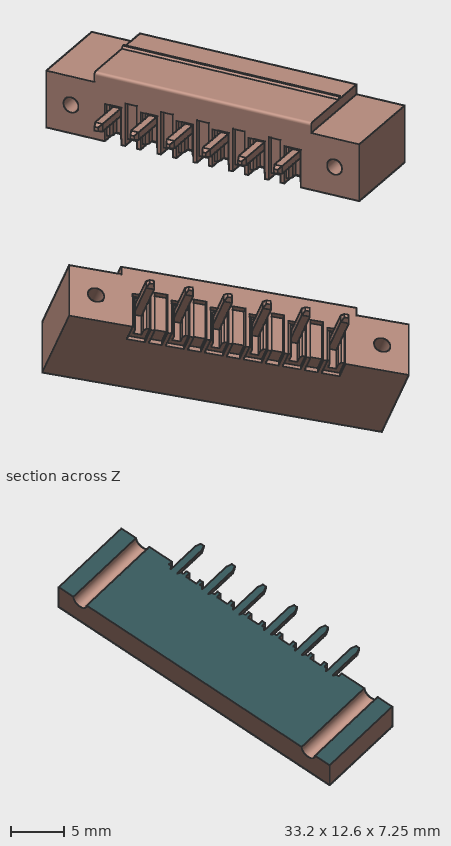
import cadquery as cq

length = 33.25
depth = 9.2
flange_height = 6.0
body_height = 7.02
body_length = 23.0
front_edge_radius = 0.3

overall_height = 7.25
ridge_back = 5.95
ridge_top_width = 0.2
ridge_base_width = 0.4

axis_height = 3.0
hole_diameter = 1.6
hole_spacing = 28.0

pin_count = 6
pin_row_length = 19.05
pitch = pin_row_length / (pin_count - 1)
pin_width = 0.8
pin_tip_width = 0.4
pin_tip_length = 0.53
pin_reach = 3.4

pocket_width = 1.75
pocket_top = 3.92
pocket_depth = 0.43
funnel_width = 1.2
funnel_top = 3.73
funnel_depth = 0.35
channel_top = axis_height + pin_width / 2
channel_depth = 0.65

slot_width = 1.25
slot_top = 4.5
slot_depth = 0.53

groove_depth = 2.0
pocket_groove_height = 0.4
slot_groove_height = 0.5

channel_start = pocket_depth + funnel_depth
channel_end = channel_start + channel_depth
pin_positions = [i * pitch - pin_row_length / 2 for i in range(pin_count)]
slot_positions = [x + pitch / 2 for x in pin_positions[:-1]]


def block(x, width, y_start, y_end, z_bottom, z_top):
    """Box centred on x, spanning the given Y and Z ranges."""
    return (
        cq.Workplane("XY")
        .box(width, y_end - y_start, z_top - z_bottom, centered=(True, False, False))
        .translate((x, y_start, z_bottom))
    )


def make_housing():
    flanges = block(0, length, 0, depth, 0, flange_height)
    body = block(0, body_length, 0, depth, 0, body_height)
    body = body.edges("<Y and >Z").fillet(front_edge_radius)
    ridge = (
        cq.Workplane("YZ")
        .moveTo(ridge_back, body_height)
        .lineTo(ridge_back, overall_height)
        .lineTo(ridge_back - ridge_top_width, overall_height)
        .lineTo(ridge_back - ridge_base_width, body_height)
        .close()
        .extrude(body_length / 2, both=True)
    )
    return flanges.union(body).union(ridge)


def make_mounting_holes():
    return (
        cq.Workplane("XZ")
        .pushPoints([(-hole_spacing / 2, axis_height), (hole_spacing / 2, axis_height)])
        .circle(hole_diameter / 2)
        .extrude(-depth)
    )


def make_funnel(x):
    """Recess open at the underside, its sides and top narrowing toward the channel."""
    return (
        cq.Workplane("XZ", origin=(x, pocket_depth, 0))
        .center(0, funnel_top / 2)
        .rect(funnel_width, funnel_top)
        .workplane(offset=-funnel_depth)
        .center(0, (channel_top - funnel_top) / 2)
        .rect(pin_width, channel_top)
        .loft(ruled=True)
    )


def make_pocket(x):
    opening = block(x, pocket_width, 0, pocket_depth, 0, pocket_top)
    channel = block(x, pin_width, channel_start, channel_end, 0, channel_top)
    groove = block(x, pocket_width, 0, groove_depth, 0, pocket_groove_height)
    return opening.union(make_funnel(x)).union(channel).union(groove)


def make_slot(x):
    opening = block(x, slot_width, 0, slot_depth, 0, slot_top)
    groove = block(x, slot_width, 0, groove_depth, 0, slot_groove_height)
    return opening.union(groove)


def make_pin(x):
    """Square pin rooted behind the channel, with a tapered tip."""
    tip_start = pin_tip_length - pin_reach
    z_bottom = axis_height - pin_width / 2
    shank = block(x, pin_width, tip_start, groove_depth, z_bottom, z_bottom + pin_width)
    tip = (
        cq.Workplane("XZ", origin=(x, tip_start, axis_height))
        .rect(pin_width, pin_width)
        .workplane(offset=pin_tip_length)
        .rect(pin_tip_width, pin_tip_width)
        .loft(ruled=True)
    )
    return shank.union(tip)


result = make_housing().cut(make_mounting_holes())
for x in pin_positions:
    result = result.cut(make_pocket(x))
for x in slot_positions:
    result = result.cut(make_slot(x))
for x in pin_positions:
    result = result.union(make_pin(x))